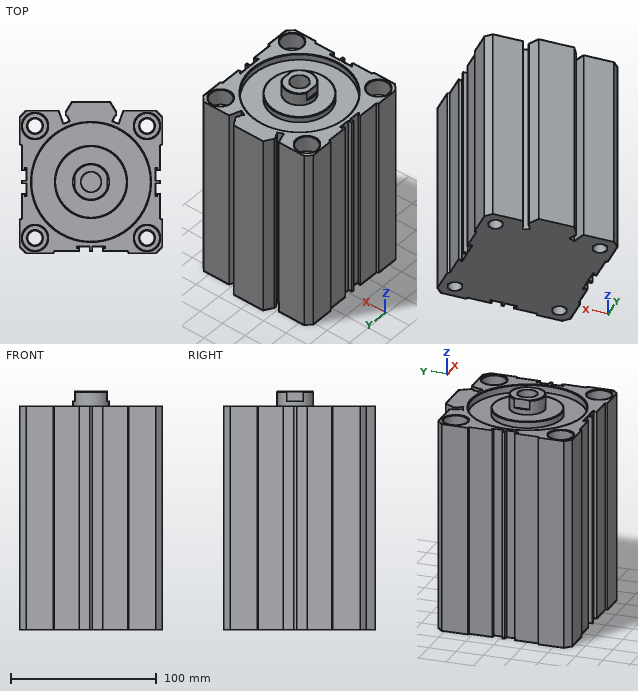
import cadquery as cq

WIDTH = 98.0
HALF = WIDTH / 2
HEIGHT = 153.4
CORNER_CHAMFER = 4.4

RELIEF_DEPTH = 1.5
RELIEF_HALF_OUTER = 25.8
RELIEF_HALF_INNER = 25.2

SLOT_HALF = 8.2
SLOT_UNDERCUT_HALF = 9.6
SLOT_UNDERCUT_HEIGHT = 1.0
SLOT_FLOOR_DEPTH = 4.5
RIB_HALF = 1.0

OVERALL_DEPTH = 104.0
RAIL_TOP_Y = OVERALL_DEPTH - HALF
RAIL_TOP_HALF = 13.0
RAIL_HALF = 17.3
RAIL_SHOULDER_Y = 48.0
RAIL_LIP_Y = 46.0
RAIL_NECK = (16.4, 45.1)
RAIL_ROOT = (14.7, 41.7)
GROOVE_BOTTOM = (19.0, 39.9)
GROOVE_BEND = (20.6, 44.8)
GROOVE_MOUTH_HALF = 22.2

HOLE_OFFSET = 38.5
HOLE_DIAMETER = 10.1
COUNTERBORE_DIAMETER = 17.5
COUNTERBORE_DEPTH = 13.5
HOLE_CHAMFER = 0.5

RECESS_DIAMETER = 81.8
RECESS_DEPTH = 5.2
RECESS_CHAMFER = 0.5
COLLAR_DIAMETER = 49.9
COLLAR_HEIGHT = 4.7
COLLAR_CHAMFER = 0.5

TOTAL_HEIGHT = 163.5
ROD_DIAMETER = 25.0
ROD_LENGTH = 40.9
ROD_CHAMFER = 0.5
ROD_FLAT_WIDTH = 22.2
ROD_FLAT_HEIGHT = 6.7
ROD_HOLE_DIAMETER = 14.0
ROD_HOLE_DEPTH = 21.3
ROD_BOTTOM = TOTAL_HEIGHT - ROD_LENGTH


def mirrored(points):
    """The points reflected in the Y axis, in reverse order."""
    return [(-x, y) for x, y in reversed(points)]


def cylinder(diameter, bottom, top):
    return cq.Workplane("XY", origin=(0, 0, bottom)).circle(diameter / 2).extrude(top - bottom)


def block():
    """Chamfered square column with the rail on its +Y face."""
    right_half = [
        (HALF - CORNER_CHAMFER, -HALF),
        (HALF, -HALF + CORNER_CHAMFER),
        (HALF, HALF - CORNER_CHAMFER),
        (HALF - CORNER_CHAMFER, HALF),
        (GROOVE_MOUTH_HALF, HALF),
        GROOVE_BEND,
        GROOVE_BOTTOM,
        RAIL_ROOT,
        RAIL_NECK,
        (RAIL_HALF, RAIL_LIP_Y),
        (RAIL_HALF, RAIL_SHOULDER_Y),
        (RAIL_TOP_HALF, RAIL_TOP_Y),
    ]
    return cq.Workplane("XY").polyline(right_half + mirrored(right_half)).close().extrude(HEIGHT)


def face_groove():
    """Relief and undercut slot of the -Y face, leaving the middle rib."""
    relief_y = -HALF + RELIEF_DEPTH
    floor_y = -HALF + SLOT_FLOOR_DEPTH
    undercut_y = floor_y - SLOT_UNDERCUT_HEIGHT
    right_half = [
        (RELIEF_HALF_OUTER, -HALF),
        (RELIEF_HALF_INNER, relief_y),
        (SLOT_HALF, relief_y),
        (SLOT_HALF, undercut_y),
        (SLOT_UNDERCUT_HALF, undercut_y),
        (SLOT_UNDERCUT_HALF, floor_y),
        (RIB_HALF, floor_y),
        (RIB_HALF, relief_y),
    ]
    return cq.Workplane("XY").polyline(right_half + mirrored(right_half)).close().extrude(HEIGHT)


def mounting_hole():
    """Through hole and counterbore, both with chamfered mouths, centred on the Z axis."""
    shoulder = HEIGHT - COUNTERBORE_DEPTH
    hole = HOLE_DIAMETER / 2
    bore = COUNTERBORE_DIAMETER / 2
    half_section = [
        (0, 0),
        (hole, 0),
        (hole, shoulder - HOLE_CHAMFER),
        (hole + HOLE_CHAMFER, shoulder),
        (bore, shoulder),
        (bore, HEIGHT - HOLE_CHAMFER),
        (bore + HOLE_CHAMFER, HEIGHT),
        (0, HEIGHT),
    ]
    return cq.Workplane("XZ").polyline(half_section).close().revolve(360, (0, 0, 0), (0, 1, 0))


def top_recess():
    """Ring-shaped pocket around the collar, with both rims chamfered."""
    floor = HEIGHT - RECESS_DEPTH
    pocket = cylinder(RECESS_DIAMETER, floor, HEIGHT)
    mouth = cq.Workplane("XY").add(
        cq.Solid.makeCone(
            RECESS_DIAMETER / 2,
            RECESS_DIAMETER / 2 + RECESS_CHAMFER,
            RECESS_CHAMFER,
            cq.Vector(0, 0, HEIGHT - RECESS_CHAMFER),
        )
    )
    collar = cylinder(COLLAR_DIAMETER, floor, floor + COLLAR_HEIGHT).faces(">Z").chamfer(COLLAR_CHAMFER)
    return pocket.union(mouth).cut(collar)


def make_housing():
    body = block()
    for angle in (0, 90, -90):
        body = body.cut(face_groove().rotate((0, 0, 0), (0, 0, 1), angle))
    for x in (-HOLE_OFFSET, HOLE_OFFSET):
        for y in (-HOLE_OFFSET, HOLE_OFFSET):
            body = body.cut(mounting_hole().translate((x, y, 0)))
    socket = cylinder(ROD_DIAMETER, ROD_BOTTOM, HEIGHT)
    return body.cut(top_recess()).cut(socket)


def make_rod():
    """Round rod with a chamfered tip, two wrench flats and a blind end hole."""
    rod = cylinder(ROD_DIAMETER, ROD_BOTTOM, TOTAL_HEIGHT).faces(">Z").chamfer(ROD_CHAMFER)
    flats_bottom = TOTAL_HEIGHT - ROD_FLAT_HEIGHT
    flat_depth = (ROD_DIAMETER - ROD_FLAT_WIDTH) / 2
    for side in (-1, 1):
        flat = (
            cq.Workplane("XY", origin=(side * (ROD_FLAT_WIDTH + flat_depth) / 2, 0, flats_bottom))
            .rect(flat_depth, ROD_DIAMETER)
            .extrude(ROD_FLAT_HEIGHT)
        )
        rod = rod.cut(flat)
    return rod.cut(cylinder(ROD_HOLE_DIAMETER, TOTAL_HEIGHT - ROD_HOLE_DEPTH, TOTAL_HEIGHT))


housing = make_housing()
rod = make_rod()

result = cq.Compound.makeCompound([housing.val(), rod.val()])